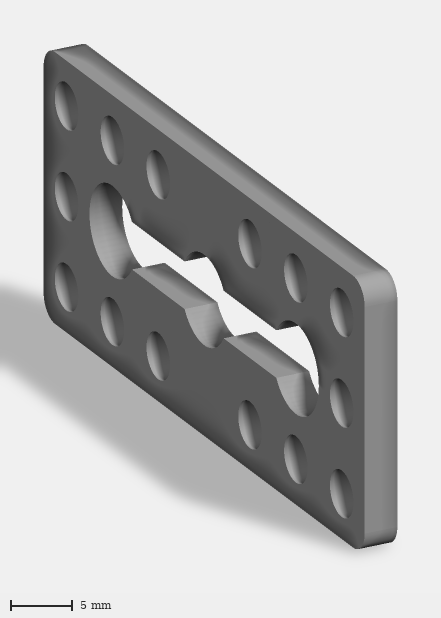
import cadquery as cq

pitch = 8.0
columns = 7
rows = 3
length = columns * pitch
height = rows * pitch
thickness = 3.0
corner_radius = 2.0

small_hole_diameter = 4.1
large_hole_diameter = 8.0
slot_width = 4.2

large_hole_spacing = 2 * pitch


def small_hole_centers():
    """Grid points of the small holes: full top and bottom rows except the middle column,
    plus one hole at each end of the middle row."""
    last_column = columns // 2
    centers = []
    for side in (-1, 1):
        centers.append((side * last_column * pitch, 0))
        for column in range(1, last_column + 1):
            for row in (-1, 1):
                centers.append((side * column * pitch, row * pitch))
    return centers


def make_plate():
    """Rounded rectangular plate centred on the origin."""
    plate = cq.Workplane("XZ").rect(length, height).extrude(thickness / 2, both=True)
    return plate.edges("|Y").fillet(corner_radius)


def make_round_cutters(centers, diameter):
    """Cylinders along Y spanning the plate thickness."""
    sketch = cq.Workplane("XZ").pushPoints(centers).circle(diameter / 2)
    return sketch.extrude(thickness / 2, both=True)


def make_keyhole_cutter():
    """Three large circles joined by a narrower straight slot."""
    centers = [(index * large_hole_spacing, 0) for index in (-1, 0, 1)]
    circles = make_round_cutters(centers, large_hole_diameter)
    slot = cq.Workplane("XY").box(2 * large_hole_spacing, thickness, slot_width)
    return circles.union(slot)


plate = make_plate()
plate = plate.cut(make_round_cutters(small_hole_centers(), small_hole_diameter))
result = plate.cut(make_keyhole_cutter())